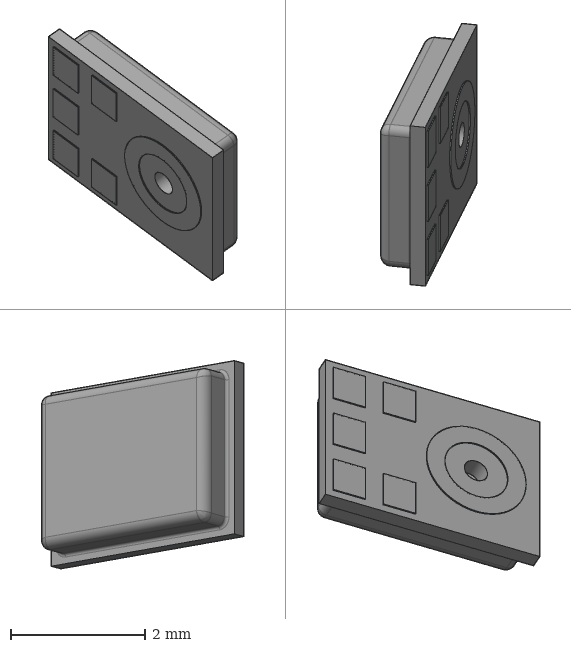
import cadquery as cq

board_length = 3.5
board_height = 2.65
total_depth = 0.77
pad_thickness = 0.02
board_thickness = 0.23

can_margin = 0.15
can_corner_radius = 0.125
can_back_radius = 0.158
can_foot_radius = 0.05
foot_search_depth = 0.005

pad_length = 0.525
pad_height = 0.602
pad_edge_margin = 0.122
pad_column_pitch = 0.82

port_x = 0.707
ring_outer_diameter = 1.625
ring_inner_diameter = 1.025
port_diameter = 0.375
port_depth_in_can = 0.07

pad_front_y = -total_depth / 2
board_front_y = pad_front_y + pad_thickness
board_back_y = board_front_y + board_thickness
can_depth = total_depth / 2 - board_back_y

first_column_x = -board_length / 2 + pad_edge_margin + pad_length / 2
second_column_x = first_column_x + pad_column_pitch
outer_row_z = board_height / 2 - pad_edge_margin - pad_height / 2


def plane_at(y):
    """XZ plane at the given Y; its normal points to -Y, so the back lies at negative extrusion."""
    return cq.Workplane("XZ", origin=(0, y, 0))


def make_board():
    return plane_at(board_front_y).rect(board_length, board_height).extrude(-board_thickness)


def make_can():
    """Closed can with rounded corners and a rounded back edge."""
    length = board_length - 2 * can_margin
    height = board_height - 2 * can_margin
    can = plane_at(board_back_y).rect(length, height).extrude(-can_depth)
    can = can.edges("|Y").fillet(can_corner_radius)
    return can.faces(">Y").edges().fillet(can_back_radius)


def round_can_foot(housing):
    """Concave fillet where the can walls meet the board, leaving the board's own rim sharp."""
    inside_rim_x = (board_length - can_margin) / 2
    inside_rim_z = (board_height - can_margin) / 2
    foot_region = cq.selectors.BoxSelector(
        (-inside_rim_x, board_back_y - foot_search_depth, -inside_rim_z),
        (inside_rim_x, board_back_y + foot_search_depth, inside_rim_z),
    )
    return housing.edges(foot_region).fillet(can_foot_radius)


def make_pads():
    pad_centers = [
        (first_column_x, -outer_row_z),
        (first_column_x, 0),
        (first_column_x, outer_row_z),
        (second_column_x, -outer_row_z),
        (second_column_x, outer_row_z),
    ]
    pads = plane_at(board_front_y).pushPoints(pad_centers)
    return pads.rect(pad_length, pad_height).extrude(pad_thickness)


def make_ring():
    ring = plane_at(board_front_y).center(port_x, 0)
    return ring.circle(ring_outer_diameter / 2).circle(ring_inner_diameter / 2).extrude(pad_thickness)


def make_port():
    depth = board_thickness + port_depth_in_can
    return plane_at(board_front_y).center(port_x, 0).circle(port_diameter / 2).extrude(-depth)


housing = round_can_foot(make_board().union(make_can()))
result = housing.union(make_pads()).union(make_ring()).cut(make_port())